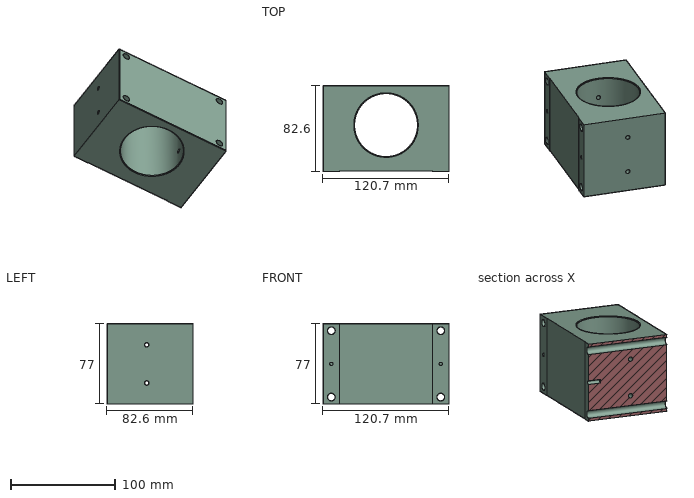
import cadquery as cq

length = 120.65
depth = 82.55
height = 76.99
back_chamfer = 0.508

strip_width = 15.875
relief_depth = 0.381
strip_center_x = (length - strip_width) / 2

bore_diameter = 60.325
bore_chamfer = 0.762
bore_center_y = 44.45

bolt_diameter = 7.1
bolt_spacing_z = 63.5
pin_diameter = 3.175
pin_depth = 12.7

cross_diameter = 3.97
cross_spacing_z = 36.5


def make_block():
    """Solid block with a narrow 45-degree chamfer around the back face."""
    block = cq.Workplane("XY").box(length, depth, height).translate((0, depth / 2, 0))
    back_face = block.faces(">Y").val()
    solid = block.val().chamfer(back_chamfer, None, back_face.Edges())
    return cq.Workplane(obj=solid)


def front_relief():
    """Cutter for the shallow recess between the strips; half of it lies ahead of the front face."""
    relief_width = length - 2 * strip_width
    return cq.Workplane("XY").box(relief_width, 2 * relief_depth, height)


def chamfered_bore():
    """Through bore with a conical chamfer at each end."""
    radius = bore_diameter / 2
    mouth_radius = radius + bore_chamfer
    half_height = height / 2
    straight_end = half_height - bore_chamfer
    return (
        cq.Workplane("XZ")
        .moveTo(0, -half_height)
        .lineTo(mouth_radius, -half_height)
        .lineTo(radius, -straight_end)
        .lineTo(radius, straight_end)
        .lineTo(mouth_radius, half_height)
        .lineTo(0, half_height)
        .close()
        .revolve(360, (0, 0), (0, 1))
        .translate((0, bore_center_y, 0))
    )


def front_hole(x, z, diameter, hole_depth):
    """Cylinder running from the front mounting face toward +Y."""
    return cq.Workplane("XZ").center(x, z).circle(diameter / 2).extrude(-hole_depth)


def cross_hole(z):
    """Cylinder along X through both side walls, on the bore centreline."""
    return (
        cq.Workplane("YZ")
        .center(bore_center_y, z)
        .circle(cross_diameter / 2)
        .extrude(length / 2, both=True)
    )


result = make_block().cut(front_relief()).cut(chamfered_bore())

for x in (-strip_center_x, strip_center_x):
    result = result.cut(front_hole(x, 0, pin_diameter, pin_depth))
    for z in (-bolt_spacing_z / 2, bolt_spacing_z / 2):
        result = result.cut(front_hole(x, z, bolt_diameter, depth))

for z in (-cross_spacing_z / 2, cross_spacing_z / 2):
    result = result.cut(cross_hole(z))